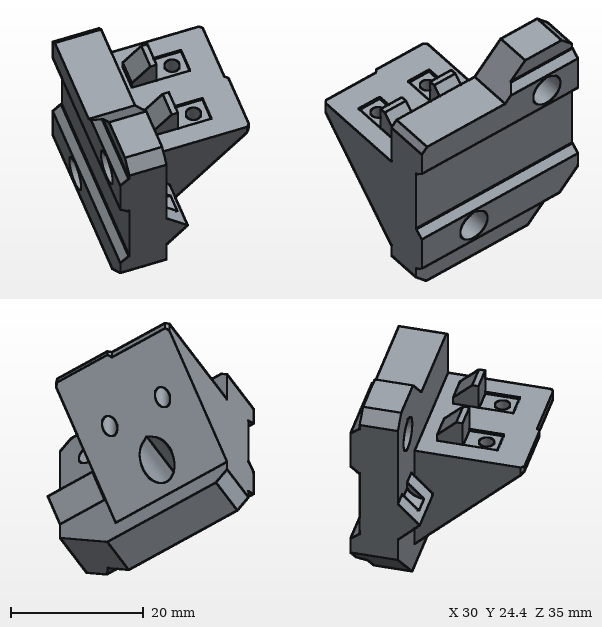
import cadquery as cq
import math

WIDTH = 30.0
HEIGHT = 35.0
PLATE_FRONT = 1.47
PLATE_BACK = 7.42
SHOULDER_HEIGHT = 30.0
SHOULDER_END = 16.0
CORNER_CHAMFER = 2.0
SHOULDER_CHAMFER = 1.0
LOWER_RIGHT_CHAMFER = 8.5

RAIL_HEIGHTS = (8.0, 28.0)
RAIL_HALF_BASE = 4.2
RAIL_HALF_FACE = 3.08
RAIL_LEDGE = 0.15

SCREW_DIAMETER = 5.2
SCREW_PEAK = 2.85
SCREW_X = (10.0, 24.0)

SHELF_TOP = 21.85
SHELF_ROOT = 4.13
SHELF_TIP_THICKNESS = 1.0
SHELF_DEPTH = 24.4
LEFT_BAY_DEPTH = 23.9
BAY_PITCH = 9.5
SHELF_WIDTH = 20.0
BAY_CHAMFER = 0.45
JOINT_CHAMFER = 1.0

POCKET_CENTER_X = 5.2
POCKET_WIDTH = 4.05
POCKET_BACK = 19.42
POCKET_DEPTH = 0.4
PIN_DIAMETER = 2.3
PIN_Y = 17.25
HOOK_BACK = 14.05
HOOK_FRONT = 10.08
HOOK_HEIGHT = 4.05
HOOK_LIP = 1.15
HOOK_CREST = 0.98

ANCHOR_WIDTH = 8.0
ANCHOR_DEPTH = 3.4
ANCHOR_CENTER_Z = 15.75
TIE_WIDTH = 3.0
TIE_RADIUS = 3.0
TIE_AXIS_Y = 10.05

POCKETS_X = [POCKET_CENTER_X + bay * BAY_PITCH for bay in range(2)]


def plate_outline():
    """Closed XZ outline of the plate, on a plane whose normal points to -Y."""
    return cq.Workplane("XZ").polyline([
        (CORNER_CHAMFER, 0),
        (WIDTH - LOWER_RIGHT_CHAMFER, 0),
        (WIDTH, LOWER_RIGHT_CHAMFER),
        (WIDTH, HEIGHT - CORNER_CHAMFER),
        (WIDTH - CORNER_CHAMFER, HEIGHT),
        (SHOULDER_END + HEIGHT - SHOULDER_HEIGHT, HEIGHT),
        (SHOULDER_END, SHOULDER_HEIGHT),
        (SHOULDER_CHAMFER, SHOULDER_HEIGHT),
        (0, SHOULDER_HEIGHT - SHOULDER_CHAMFER),
        (0, CORNER_CHAMFER),
    ]).close()


def rail(center_z):
    """Rail with sloped flanks, running the full width of the plate."""
    slope_start = PLATE_FRONT - RAIL_LEDGE
    return (
        cq.Workplane("YZ")
        .polyline([
            (PLATE_FRONT, center_z - RAIL_HALF_BASE),
            (slope_start, center_z - RAIL_HALF_BASE),
            (0, center_z - RAIL_HALF_FACE),
            (0, center_z + RAIL_HALF_FACE),
            (slope_start, center_z + RAIL_HALF_BASE),
            (PLATE_FRONT, center_z + RAIL_HALF_BASE),
        ])
        .close()
        .extrude(WIDTH)
    )


def screw_hole(x, z):
    """Round hole along Y whose top rises to a small peak tangent to the circle."""
    radius = SCREW_DIAMETER / 2
    tangent_z = radius ** 2 / SCREW_PEAK
    tangent_x = math.sqrt(radius ** 2 - tangent_z ** 2)
    return (
        cq.Workplane("XZ")
        .moveTo(x - tangent_x, z + tangent_z)
        .threePointArc((x, z - radius), (x + tangent_x, z + tangent_z))
        .lineTo(x, z + SCREW_PEAK)
        .close()
        .extrude(-SHELF_DEPTH)
    )


def shelf():
    """Triangular bracket trimmed to the stepped plan of the two bays."""
    bracket = (
        cq.Workplane("YZ")
        .polyline([
            (PLATE_BACK, SHELF_ROOT),
            (PLATE_BACK, SHELF_TOP),
            (SHELF_DEPTH, SHELF_TOP),
            (SHELF_DEPTH, SHELF_TOP - SHELF_TIP_THICKNESS),
        ])
        .close()
        .extrude(SHELF_WIDTH)
    )
    joint_corner = BAY_PITCH + JOINT_CHAMFER
    step_x = joint_corner - (SHELF_DEPTH - LEFT_BAY_DEPTH)
    plan = (
        cq.Workplane("XY")
        .polyline([
            (0, PLATE_BACK),
            (0, LEFT_BAY_DEPTH - BAY_CHAMFER),
            (BAY_CHAMFER, LEFT_BAY_DEPTH),
            (step_x, LEFT_BAY_DEPTH),
            (joint_corner, SHELF_DEPTH),
            (SHELF_WIDTH - BAY_CHAMFER, SHELF_DEPTH),
            (SHELF_WIDTH, SHELF_DEPTH - BAY_CHAMFER),
            (SHELF_WIDTH, PLATE_BACK),
        ])
        .close()
        .extrude(SHELF_TOP)
    )
    return bracket.intersect(plan)


def pocket(center_x):
    """Shallow rectangular pocket with a pin hole through its floor."""
    length = POCKET_BACK - HOOK_BACK
    recess = cq.Workplane("XY").box(POCKET_WIDTH, length, POCKET_DEPTH, centered=(True, False, False))
    recess = recess.translate((center_x, HOOK_BACK, SHELF_TOP - POCKET_DEPTH))
    pin_hole = cq.Workplane("XY").center(center_x, PIN_Y).circle(PIN_DIAMETER / 2).extrude(SHELF_TOP)
    return recess.union(pin_hole)


def hook(center_x):
    """Hook standing on the shelf, sloping down towards the plate."""
    crest = SHELF_TOP + HOOK_HEIGHT
    return (
        cq.Workplane("YZ", origin=(center_x, 0, 0))
        .polyline([
            (HOOK_BACK, SHELF_TOP - POCKET_DEPTH),
            (HOOK_BACK, crest),
            (HOOK_BACK - HOOK_CREST, crest),
            (HOOK_FRONT, SHELF_TOP + HOOK_LIP),
            (HOOK_FRONT, SHELF_TOP - POCKET_DEPTH),
        ])
        .close()
        .extrude(POCKET_WIDTH / 2, both=True)
    )


def anchor():
    """Ridge with 45 degree faces and a curved groove for a cable tie."""
    center_x = WIDTH - ANCHOR_WIDTH / 2
    ridge = (
        cq.Workplane("YZ", origin=(center_x, 0, 0))
        .polyline([
            (PLATE_BACK, ANCHOR_CENTER_Z - ANCHOR_DEPTH),
            (PLATE_BACK + ANCHOR_DEPTH, ANCHOR_CENTER_Z),
            (PLATE_BACK, ANCHOR_CENTER_Z + ANCHOR_DEPTH),
        ])
        .close()
        .extrude(ANCHOR_WIDTH / 2, both=True)
    )
    groove_bottom = ANCHOR_CENTER_Z + PLATE_BACK + ANCHOR_DEPTH - TIE_AXIS_Y
    groove = (
        cq.Workplane("YZ", origin=(center_x, 0, 0))
        .center(TIE_AXIS_Y, groove_bottom + TIE_RADIUS)
        .circle(TIE_RADIUS)
        .extrude(TIE_WIDTH / 2, both=True)
    )
    return ridge.cut(groove)


result = plate_outline().extrude(-PLATE_BACK)
front_layer = cq.Workplane("XY").box(WIDTH, PLATE_FRONT, HEIGHT, centered=False)
for rail_z in RAIL_HEIGHTS:
    front_layer = front_layer.cut(rail(rail_z))
result = result.cut(front_layer)

result = result.union(shelf())
for pocket_x in POCKETS_X:
    result = result.cut(pocket(pocket_x))
    result = result.union(hook(pocket_x))

result = result.union(anchor())

for screw_x, rail_z in zip(SCREW_X, RAIL_HEIGHTS):
    result = result.cut(screw_hole(screw_x, rail_z))